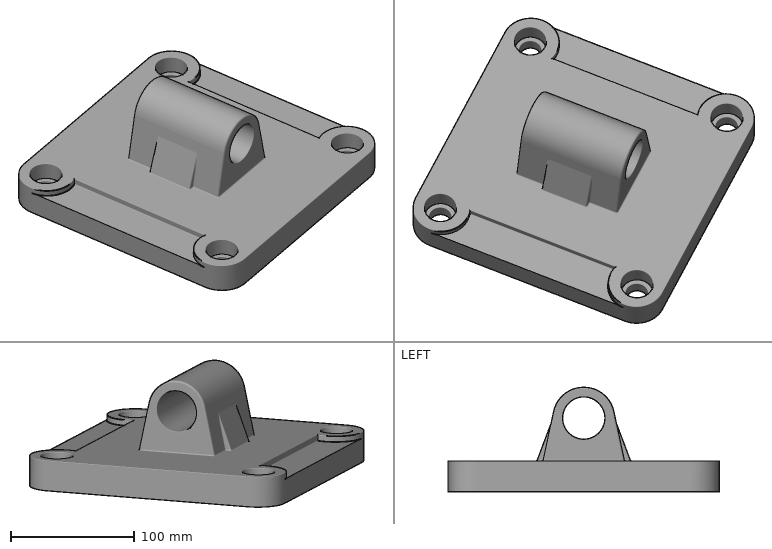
import cadquery as cq
import math

plate_side = 220.0
plate_height = 25.0
corner_radius = 23.0
plate_round = 0.5

hole_offset = 87.5
boss_overlap = 0.05
rim_round = 0.5
hole_diameter = 18.0
counterbore_diameter = 26.0
counterbore_depth = 14.5

recess_width = 30.0
recess_depth = 5.0

total_height = 85.0
hub_radius = 25.0
hub_length = 90.0
hub_slope = 12.0
hub_end_round = 1.5
foot_round = 1.0
bore_diameter = 34.0

rib_width = 40.0
rib_top_z = 55.5
rib_reach = 38.0
rib_round = 1.0

half_side = plate_side / 2
corner_offset = half_side - corner_radius
boss_radius = corner_radius + boss_overlap
recess_floor_z = plate_height - recess_depth
hub_axis_z = total_height - hub_radius
slope_sin = math.sin(math.radians(hub_slope))
slope_cos = math.cos(math.radians(hub_slope))
slope_tan = slope_sin / slope_cos
tangent_y = hub_radius * slope_cos
tangent_z = hub_axis_z + hub_radius * slope_sin


def hub_half_width(z):
    """Half width in Y of the sloped hub sides at height z."""
    return tangent_y + (tangent_z - z) * slope_tan


def corner_cylinders(offset, radius, bottom_z, height):
    """Four equal vertical cylinders at the corners of a square."""
    return (
        cq.Workplane("XY", origin=(0, 0, bottom_z))
        .rect(2 * offset, 2 * offset, forConstruction=True)
        .vertices()
        .circle(radius)
        .extrude(height)
    )


def make_raised_area():
    """Full-height part of the plate: a band between the recesses plus the corner bosses."""
    return (
        cq.Workplane("XY")
        .rect(plate_side, plate_side - 2 * recess_width)
        .extrude(plate_height)
        .union(corner_cylinders(corner_offset, boss_radius, 0, plate_height))
        .faces(">Z")
        .edges()
        .fillet(plate_round)
    )


def make_recess_cutters():
    """Cutters for the +Y recess: the sunken strip and the round on its outer edge."""
    raised_area = make_raised_area()
    strip = (
        cq.Workplane("XY", origin=(0, half_side, recess_floor_z))
        .rect(2 * corner_offset, 4 * recess_width)
        .extrude(2 * recess_depth)
        .cut(raised_area)
        .faces("<Z")
        .edges()
        .fillet(plate_round)
    )
    edge_bar = (
        cq.Workplane("YZ", origin=(-corner_offset, 0, 0))
        .moveTo(half_side, recess_floor_z - plate_round)
        .radiusArc((half_side - plate_round, recess_floor_z), -plate_round)
        .lineTo(half_side, recess_floor_z)
        .close()
        .extrude(2 * corner_offset)
        .cut(raised_area)
    )
    return strip, edge_bar


def make_plate():
    plate = (
        cq.Workplane("XY")
        .rect(plate_side, plate_side)
        .extrude(plate_height)
        .edges("|Z")
        .fillet(corner_radius)
        .faces("<Z or >Z")
        .edges()
        .fillet(plate_round)
    )
    for cutter in make_recess_cutters():
        plate = plate.cut(cutter).cut(cutter.mirror("XZ"))
    return plate


def make_hub():
    """Round-topped hub with sloped sides, standing on the plate."""
    base_y = hub_half_width(plate_height)
    return (
        cq.Workplane("YZ", origin=(-hub_length / 2, 0, 0))
        .moveTo(-base_y, plate_height)
        .lineTo(-tangent_y, tangent_z)
        .threePointArc((0, total_height), (tangent_y, tangent_z))
        .lineTo(base_y, plate_height)
        .close()
        .extrude(hub_length)
        .faces("<X or >X")
        .edges("not <Z")
        .fillet(hub_end_round)
    )


def make_ribs():
    """Trapezoidal block whose two sloped ends stand out of the hub as ribs."""
    top_y = hub_half_width(rib_top_z)
    return (
        cq.Workplane("YZ", origin=(-rib_width / 2, 0, 0))
        .polyline([
            (-rib_reach, plate_height),
            (-top_y, rib_top_z),
            (top_y, rib_top_z),
            (rib_reach, plate_height),
        ])
        .close()
        .extrude(rib_width)
        .faces("<Y or >Y")
        .edges("not |X")
        .fillet(rib_round)
    )


def make_pedestal():
    """Hub and ribs joined, with rounded corners between the rib sides and the hub."""
    pedestal = make_hub().union(make_ribs())
    reach_x = rib_width / 2 + rib_round
    reach_y = hub_half_width(plate_height) - rib_round
    corner_edges = cq.selectors.BoxSelector(
        (-reach_x, -reach_y, plate_height + rib_round),
        (reach_x, reach_y, rib_top_z - rib_round),
    )
    return pedestal.edges(corner_edges).fillet(rib_round)


def round_foot(body):
    """Round the corner where the pedestal meets the top of the plate."""
    reach_x = hub_length / 2 + foot_round
    reach_y = rib_reach + foot_round
    foot_edges = cq.selectors.BoxSelector(
        (-reach_x, -reach_y, plate_height - foot_round / 2),
        (reach_x, reach_y, plate_height + foot_round / 2),
    )
    return body.edges(foot_edges).fillet(foot_round)


def round_rims(body, diameter, center_z):
    """Round every circular edge of one diameter whose centre lies at height center_z."""
    tolerance = 0.002
    rims = [
        edge
        for edge in body.edges("%CIRCLE").vals()
        if abs(2 * edge.radius() - diameter) < tolerance
        and abs(edge.arcCenter().z - center_z) < tolerance
    ]
    return body.newObject(rims).fillet(rim_round)


def cut_mounting_holes(body):
    seat_z = plate_height - counterbore_depth
    holes = corner_cylinders(hole_offset, hole_diameter / 2, 0, plate_height)
    counterbores = corner_cylinders(
        hole_offset, counterbore_diameter / 2, seat_z, counterbore_depth
    )
    body = body.cut(holes).cut(counterbores)
    body = round_rims(body, counterbore_diameter, plate_height)
    return round_rims(body, hole_diameter, seat_z)


def cut_pivot_bore(body):
    bore = (
        cq.Workplane("YZ", origin=(-hub_length / 2, 0, hub_axis_z))
        .circle(bore_diameter / 2)
        .extrude(hub_length)
    )
    return round_rims(body.cut(bore), bore_diameter, hub_axis_z)


body = make_plate().union(make_pedestal())
body = round_foot(body)
body = cut_mounting_holes(body)
result = cut_pivot_bore(body)